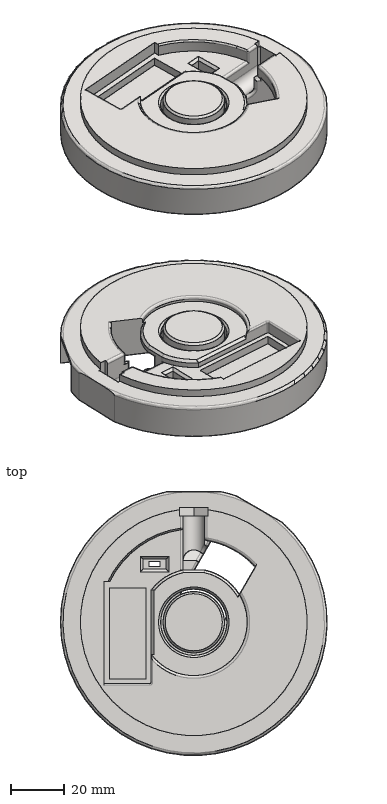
import cadquery as cq
import math

body_radius = 50.0
body_height = 13.0
body_edge_round = 1.0
boss_radius = 42.5
total_height = 16.0
flat_distance = 49.0

hub_radius = 20.0
hub_height = 14.0
hub_flat_x = -16.0
hub_chamfer = 1.0
rim_round = 1.0
knob_radius = 11.5
knob_chamfer = 0.8
well_radius = 12.4
well_chamfer = 0.8
well_floor = 2.0

recess_floor = 11.0
recess_left = -33.6
recess_right = -16.0
recess_bottom = -23.0
recess_top = 15.2
recess_arc_radius = 35.0
recess_round = 0.6
recess_arc_middle = 125.0
arc_recess_start_y = 12.0

tray_left = -31.5
tray_right = -17.9
tray_bottom = -21.2
tray_top = 12.8
tray_floor = 7.7

pocket_length = 8.7
pocket_width = 3.8
pocket_chamfer = 1.0
pocket_floor = 2.0
pocket_x = -14.7
pocket_y = 21.8
slit_length = 4.0
slit_width = 1.8

slot_angle = 60.0
slot_half_width = 9.6
slot_ceiling = 11.4
window_radius = 31.0

bolt_axis_z = 6.5
groove_half_width = 4.0
groove_end_y = math.sqrt(hub_radius**2 - groove_half_width**2)
groove_shelf_y = 23.1
groove_corner_round = 0.9
nut_flats = 10.6
nut_near_y = 39.9
nut_far_y = 43.0


def block(x_min, x_max, y_min, y_max, z_min, z_max):
    """Axis-aligned box given by its limits."""
    size = (x_max - x_min, y_max - y_min, z_max - z_min)
    return cq.Workplane("XY").box(*size, centered=False).translate((x_min, y_min, z_min))


def cylinder(radius, z_min, z_max):
    """Cylinder on the Z axis."""
    return cq.Workplane("XY").workplane(offset=z_min).circle(radius).extrude(z_max - z_min)


def turned(solid, angle):
    """Solid turned about the Z axis, angle in degrees."""
    return solid.rotate((0, 0, 0), (0, 0, 1), angle)


def make_body():
    base = cylinder(body_radius, 0, body_height).faces(">Z").edges().fillet(body_edge_round)
    body = base.union(cylinder(boss_radius, 0, total_height))
    outside = block(flat_distance, 2 * body_radius, -body_radius, body_radius, 0, total_height)
    for angle in (slot_angle, 90):
        body = body.cut(turned(outside, angle))
    return body


def flared_disc(radius, floor):
    """Cutter for a round recess whose upper edge is rounded over."""
    rounding_start = total_height - rim_round
    corner = rim_round * (1 - math.sqrt(0.5))
    profile = (
        cq.Workplane("XZ")
        .moveTo(0, floor)
        .lineTo(radius, floor)
        .lineTo(radius, rounding_start)
        .threePointArc((radius + corner, total_height - corner), (radius + rim_round, total_height))
        .lineTo(0, total_height)
        .close()
    )
    return profile.revolve(360, (0, 0, 0), (0, 1, 0))


def cut_side_recess(body):
    straight_part = block(
        recess_left, recess_right, recess_bottom, recess_top, recess_floor, total_height
    )
    round_part = cylinder(recess_arc_radius, recess_floor, total_height).intersect(
        block(recess_left, 0, arc_recess_start_y, body_radius, recess_floor, total_height)
    )
    body = body.cut(straight_part.union(round_part))

    arc_angle = math.radians(recess_arc_middle)
    edge_points = (
        (recess_right, (recess_bottom - arc_recess_start_y) / 2),
        ((recess_left + recess_right) / 2, recess_bottom),
        (recess_arc_radius * math.cos(arc_angle), recess_arc_radius * math.sin(arc_angle)),
    )
    for x, y in edge_points:
        rim_edge = cq.selectors.NearestToPointSelector((x, y, total_height))
        body = body.edges(rim_edge).fillet(recess_round)
    return body


def cut_window(body):
    left_of_wall = turned(
        block(0, body_radius, -slot_half_width, body_radius, recess_floor, total_height),
        slot_angle,
    )
    right_half = block(0, body_radius, 0, body_radius, recess_floor, total_height)
    return body.cut(flared_disc(window_radius, recess_floor).intersect(left_of_wall).intersect(right_half))


def make_hub():
    hub = cylinder(hub_radius, 0, hub_height)
    hub = hub.cut(block(-body_radius, hub_flat_x, -body_radius, body_radius, 0, hub_height))
    return hub.faces(">Z").edges().chamfer(hub_chamfer)


def hub_edge_bevel(distance, half_length):
    """Wedge that chamfers a straight hub edge running along X at y = distance."""
    return (
        cq.Workplane("YZ")
        .polyline([
            (distance - hub_chamfer, hub_height),
            (distance, hub_height),
            (distance, hub_height - hub_chamfer),
        ])
        .close()
        .extrude(half_length, both=True)
    )


def bevel_straight_hub_edges(body):
    """Chamfer the hub edges along its flat and along the inner end of the groove."""
    flat_half_length = math.sqrt(hub_radius**2 - hub_flat_x**2)
    flat_bevel = turned(hub_edge_bevel(-hub_flat_x, flat_half_length), 90)
    return body.cut(flat_bevel).cut(hub_edge_bevel(groove_end_y, groove_half_width))


def cut_tray_and_pocket(body):
    body = body.cut(block(tray_left, tray_right, tray_bottom, tray_top, tray_floor, recess_floor))
    pocket_top = (
        cq.Workplane("XY", origin=(pocket_x, pocket_y, recess_floor - pocket_chamfer))
        .rect(pocket_length, pocket_width)
        .workplane(offset=pocket_chamfer)
        .rect(pocket_length + 2 * pocket_chamfer, pocket_width + 2 * pocket_chamfer)
        .loft(ruled=True)
    )
    pocket = (
        cq.Workplane("XY", origin=(pocket_x, pocket_y, pocket_floor))
        .rect(pocket_length, pocket_width)
        .extrude(recess_floor - pocket_chamfer - pocket_floor)
    )
    slit = (
        cq.Workplane("XY", origin=(pocket_x, pocket_y, 0))
        .rect(slit_length, slit_width)
        .extrude(pocket_floor)
    )
    return body.cut(pocket_top).cut(pocket).cut(slit)


def flared_groove(top):
    """Round-bottomed groove cutter along +Y whose edges at height top are rounded over."""
    corner = rim_round * (1 - math.sqrt(0.5))
    half = groove_half_width
    return (
        cq.Workplane("XZ", origin=(0, groove_end_y, 0))
        .moveTo(-half, bolt_axis_z)
        .threePointArc((0, bolt_axis_z - half), (half, bolt_axis_z))
        .lineTo(half, top - rim_round)
        .threePointArc((half + corner, top - corner), (half + rim_round, top))
        .lineTo(-half - rim_round, top)
        .threePointArc((-half - corner, top - corner), (-half, top - rim_round))
        .close()
        .extrude(groove_end_y - nut_near_y)
    )


def cut_groove(body):
    bottom = bolt_axis_z - groove_half_width
    end_ramp = (
        cq.Workplane("YZ")
        .polyline([
            (groove_end_y, bottom),
            (groove_shelf_y + groove_half_width, bottom),
            (groove_shelf_y, bolt_axis_z),
            (groove_end_y, bolt_axis_z),
        ])
        .close()
        .extrude(groove_half_width, both=True)
    )
    low_side = block(-body_radius, 0, 0, recess_arc_radius, 0, total_height).intersect(
        cylinder(recess_arc_radius, 0, total_height)
    )
    groove = flared_groove(total_height)
    groove = groove.union(flared_groove(recess_floor).intersect(low_side))
    return body.cut(groove.cut(end_ramp))


def cut_nut_trap(body):
    half = nut_flats / 2
    corner = half / math.cos(math.radians(30))
    trap = (
        cq.Workplane("XZ", origin=(0, nut_near_y, 0))
        .polyline([
            (0, bolt_axis_z - corner),
            (half, bolt_axis_z - corner / 2),
            (half, total_height),
            (-half, total_height),
            (-half, bolt_axis_z - corner / 2),
        ])
        .close()
        .extrude(nut_near_y - nut_far_y)
    )
    return body.cut(trap)


def cut_slot_and_well(body):
    slot = block(0, body_radius, -slot_half_width, slot_half_width, 0, slot_ceiling)
    well = cylinder(well_radius, well_floor, total_height)
    mouth = (
        cq.Workplane("XY")
        .workplane(offset=hub_height)
        .circle(well_radius + well_chamfer)
        .workplane(offset=-well_chamfer)
        .circle(well_radius)
        .loft()
    )
    body = body.cut(turned(slot, slot_angle)).cut(well).cut(mouth)
    knob = cylinder(knob_radius, 0, total_height).faces(">Z").edges().chamfer(knob_chamfer)
    return body.union(knob)


def round_groove_corners(body):
    """Round the slot edge across the groove, then the groove's corners with window and recess."""
    body = turned(body, -slot_angle)
    margin = 0.1
    slot_edges = cq.selectors.BoxSelector(
        (hub_radius - hub_chamfer, slot_half_width - margin, bolt_axis_z - groove_half_width),
        (window_radius - 2 * groove_corner_round, slot_half_width + margin, recess_floor + margin),
    )
    body = body.edges(slot_edges).fillet(groove_corner_round)
    body = turned(body, slot_angle)

    middle_z = (recess_floor + total_height - rim_round) / 2
    for x, radius, corner_round in (
        (groove_half_width, window_radius, groove_corner_round),
        (-groove_half_width, recess_arc_radius, recess_round),
    ):
        corner = (x, math.sqrt(radius**2 - x**2), middle_z)
        body = body.edges(cq.selectors.NearestToPointSelector(corner)).fillet(corner_round)
    return body


result = make_body()
result = cut_side_recess(result)
result = cut_window(result)
result = result.cut(flared_disc(hub_radius, hub_height))
result = result.union(make_hub())
result = cut_tray_and_pocket(result)
result = cut_groove(result)
result = bevel_straight_hub_edges(result)
result = cut_nut_trap(result)
result = cut_slot_and_well(result)
result = round_groove_corners(result)